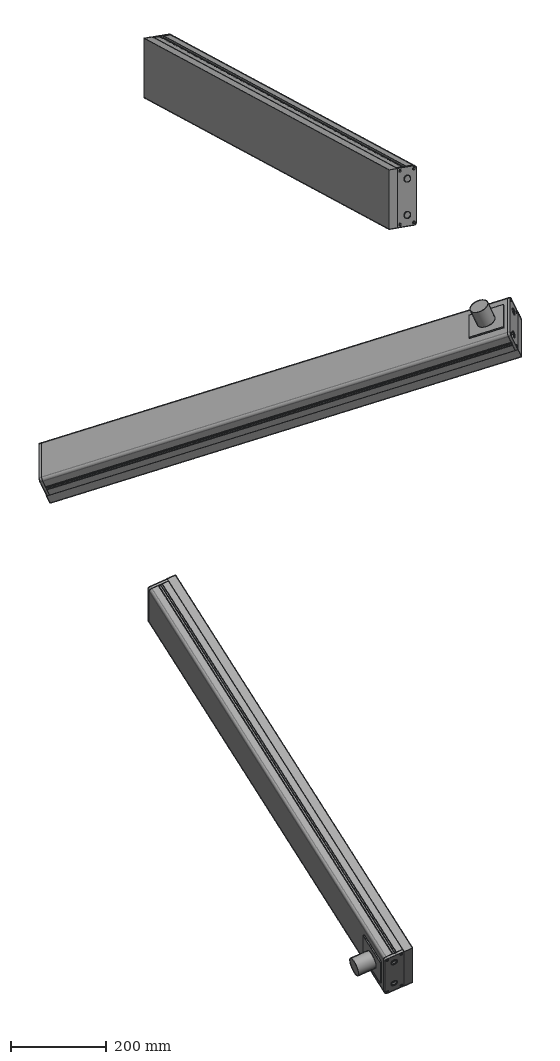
import cadquery as cq

total_length = 1060.0
height = 130.0
total_depth = 110.0

plug_diameter = 15.0
plug_spacing = 80.0
plug_protrusion = 2.6

cap_inset = 0.5
cap_thickness = 6.0
screw_hole_diameter = 5.0
screw_hole_edge_distance = 6.0

panel_length = total_length - plug_protrusion + cap_inset
panel_thickness = 20.0

housing_back = 66.0
edge_radius = 6.0
housing_start = cap_inset + cap_thickness
housing_length = panel_length - 2 * housing_start
section_depth = housing_back - panel_thickness
section_middle = panel_thickness + section_depth / 2

slot_front = 35.0
slot_step = 38.0
slot_back = 43.0
slot_depth = 4.0
step_depth = 2.0

socket_depth = 2.0
socket_bore_diameter = 13.0

connector_x = 53.0
flange_side = 77.0
flange_thickness = 3.0
barrel_diameter = 40.0
barrel_length = total_depth - housing_back - flange_thickness


def box(x_start, x_end, y_start, y_end, z_start, z_end):
    """Axis-aligned block between the given limits."""
    corner = cq.Workplane("XY", origin=(x_start, y_start, z_start))
    return corner.box(x_end - x_start, y_end - y_start, z_end - z_start, centered=False)


def section_bar(x_start, length):
    """Bar with the housing section: flat front, rounded back edges."""
    bar = box(x_start, x_start + length, panel_thickness, housing_back, -height / 2, height / 2)
    return bar.edges("|X and >Y").fillet(edge_radius)


def end_cylinders(x_start, length, diameter, y_places, z_places):
    """Cylinders along +X at every pairing of the given Y and Z places."""
    points = [(y, z) for y in y_places for z in z_places]
    plane = cq.Workplane("YZ", origin=(x_start, 0, 0))
    return plane.pushPoints(points).circle(diameter / 2).extrude(length)


def make_panel():
    """Flat plate covering the whole front."""
    return box(0, panel_length, 0, panel_thickness, -height / 2, height / 2)


def make_housing():
    """Bar between the end caps, slotted along its top and bottom."""
    housing = section_bar(housing_start, housing_length)
    x_end = housing_start + housing_length
    top = height / 2
    deep_part = box(housing_start, x_end, slot_step, slot_back, top - slot_depth, top)
    shallow_part = box(housing_start, x_end, slot_front, slot_step, top - step_depth, top)
    slot = deep_part.union(shallow_part)
    return housing.cut(slot).cut(slot.mirror("XY"))


def make_end_cap(x_start):
    """End plate with a screw hole through each corner."""
    y_places = (panel_thickness + screw_hole_edge_distance, housing_back - screw_hole_edge_distance)
    z_place = height / 2 - screw_hole_edge_distance
    holes = end_cylinders(x_start, cap_thickness, screw_hole_diameter, y_places, (-z_place, z_place))
    return section_bar(x_start, cap_thickness).cut(holes)


def paired_cylinders(x_start, length, diameter):
    """Two cylinders along +X, one above the other on the middle of the section."""
    z_places = (-plug_spacing / 2, plug_spacing / 2)
    return end_cylinders(x_start, length, diameter, (section_middle,), z_places)


def make_socket_cap():
    """-X end cap: a shallow recess around each through bore."""
    recesses = paired_cylinders(cap_inset, socket_depth, plug_diameter)
    bores = paired_cylinders(cap_inset, cap_thickness, socket_bore_diameter)
    return make_end_cap(cap_inset).cut(recesses).cut(bores)


def make_plug_cap():
    """+X end cap with two round plugs standing out of it."""
    x_start = housing_start + housing_length
    return make_end_cap(x_start).union(paired_cylinders(x_start + cap_thickness, plug_protrusion, plug_diameter))


def make_connector():
    """Square flange with a round barrel pointing away from the housing."""
    flange_back = housing_back + flange_thickness
    flange = box(
        connector_x - flange_side / 2, connector_x + flange_side / 2,
        housing_back, flange_back,
        -flange_side / 2, flange_side / 2,
    )
    barrel_base = cq.Workplane("XZ", origin=(connector_x, flange_back, 0))
    barrel = barrel_base.circle(barrel_diameter / 2).extrude(-barrel_length)
    return flange.union(barrel)


panel = make_panel()
housing = make_housing()
socket_cap = make_socket_cap()
plug_cap = make_plug_cap()
connector = make_connector()

result = cq.Compound.makeCompound(
    [panel.val(), housing.val(), socket_cap.val(), plug_cap.val(), connector.val()]
)